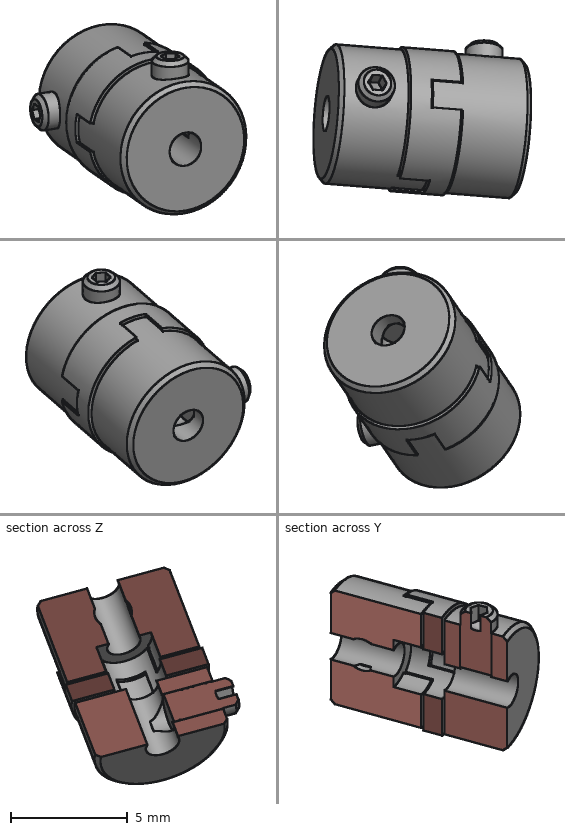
import cadquery as cq
import math


total_length = 8.4
mid_x = total_length / 2

hub_diameter = 6.0
hub_length = 3.0
hub_chamfer = 0.2
bore_diameter = 1.5
tongue_width = 1.29
tongue_length = 1.32
tongue_inner_diameter = 2.52

disc_diameter = 6.2
disc_bore_diameter = 2.4
face_gap = 0.1
slot_depth = 1.3
disc_length = total_length - 2 * (hub_length + face_gap)

screw_diameter = 1.6
screw_top = 3.75
screw_bottom = bore_diameter / 2
screw_length = screw_top - screw_bottom
screw_chamfer = 0.2
screw_x = hub_length / 2
hex_across_flats = 0.69
hex_across_corners = hex_across_flats / math.cos(math.pi / 6)
hex_depth = 0.8
socket_cone_depth = 0.2


def x_cylinder(diameter, start, length):
    """Solid cylinder on the X axis."""
    return cq.Workplane("YZ", origin=(start, 0, 0)).circle(diameter / 2).extrude(length)


def make_hub():
    """Hub at the -X end: tongues at +Z and -Z, screw hole on the -Y side."""
    hub = x_cylinder(hub_diameter, 0, hub_length).faces("<X").chamfer(hub_chamfer)

    tongue_bar = cq.Workplane("XY").box(
        tongue_length, tongue_width, hub_diameter, centered=(False, True, True)
    ).translate((hub_length, 0, 0))
    tongue_ring = x_cylinder(hub_diameter, hub_length, tongue_length).cut(
        x_cylinder(tongue_inner_diameter, hub_length, tongue_length)
    )
    hub = hub.union(tongue_bar.intersect(tongue_ring))

    screw_hole = (
        cq.Workplane("XZ", origin=(screw_x, 0, 0)).circle(screw_diameter / 2).extrude(hub_diameter)
    )
    return hub.cut(x_cylinder(bore_diameter, 0, hub_length)).cut(screw_hole)


def make_disc():
    """Bored disc with a slot along Z in its -X face and one along Y in its +X face."""
    start = mid_x - disc_length / 2
    disc = x_cylinder(disc_diameter, start, disc_length)
    disc = disc.cut(x_cylinder(disc_bore_diameter, start, disc_length))

    slot_offset = (disc_length - slot_depth) / 2
    z_slot = cq.Workplane("XY").box(slot_depth, tongue_width, disc_diameter)
    y_slot = cq.Workplane("XY").box(slot_depth, disc_diameter, tongue_width)
    disc = disc.cut(z_slot.translate((mid_x - slot_offset, 0, 0)))
    return disc.cut(y_slot.translate((mid_x + slot_offset, 0, 0)))


def make_screw():
    """Set screw pointing out of the -Y side of the -X hub, with a cone-bottomed hex socket."""
    screw = (
        cq.Workplane("XY", origin=(0, 0, screw_bottom))
        .circle(screw_diameter / 2)
        .extrude(screw_length)
        .faces(">Z")
        .chamfer(screw_chamfer)
    )

    hex_prism = (
        cq.Workplane("XY", origin=(0, 0, screw_top))
        .polygon(6, hex_across_corners)
        .extrude(-hex_depth - socket_cone_depth)
    )
    drill = (
        cq.Workplane("XZ")
        .moveTo(0, screw_top)
        .lineTo(hex_across_corners / 2, screw_top)
        .lineTo(hex_across_corners / 2, screw_top - hex_depth)
        .lineTo(0, screw_top - hex_depth - socket_cone_depth)
        .close()
        .revolve(360, (0, 0, 0), (0, 1, 0))
    )
    screw = screw.cut(hex_prism.intersect(drill))
    return screw.rotate((0, 0, 0), (1, 0, 0), 90).translate((screw_x, 0, 0))


def to_opposite_end(body):
    """Turn a body end for end, so its Z features lie along Y and its -Y features face +Z."""
    middle = (mid_x, 0, 0)
    return body.rotate(middle, (mid_x, 0, 1), 180).rotate(middle, (mid_x + 0.08, 0, 0), 90)


hub_pair = [make_hub(), to_opposite_end(make_hub())]
screw_pair = [make_screw(), to_opposite_end(make_screw())]
disc = make_disc()

bodies = [*hub_pair, disc, *screw_pair]
result = cq.Compound.makeCompound([body.val() for body in bodies])